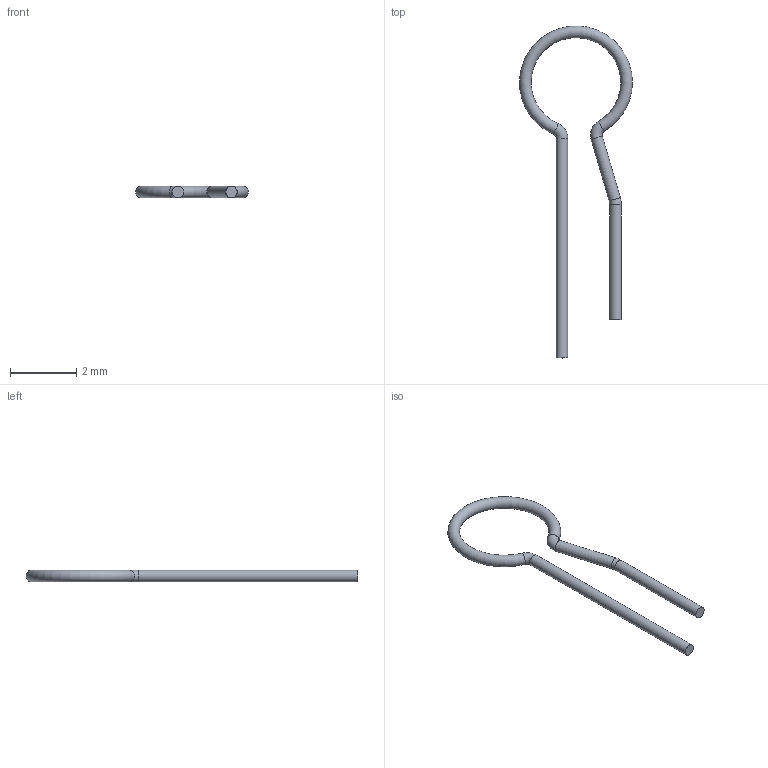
import cadquery as cq
import math

wire_diameter = 0.35
loop_outer_diameter = 3.4
overall_length = 9.99
loop_radius = (loop_outer_diameter - wire_diameter) / 2

long_leg_x = -0.42
long_leg_end_y = loop_outer_diameter / 2 - overall_length
short_leg_x = 1.19
short_leg_end_y = -7.14

neck_bend_radius = 0.3
knee_bend_radius = 0.6

loop_exit_angle = 30.0
slant_angle = 16.3


def polar_point(centre, radius, angle):
    """Point on a circle, with the angle in radians measured from +X."""
    return (centre[0] + radius * math.cos(angle), centre[1] + radius * math.sin(angle))


def bend(path, centre, radius, start_angle, end_angle):
    """Continue the path along an arc between two angles about a centre."""
    middle = polar_point(centre, radius, (start_angle + end_angle) / 2)
    end = polar_point(centre, radius, end_angle)
    return path.threePointArc(middle, end)


def wire_centreline():
    """Long leg, neck, loop, neck, slanted run, knee and short leg, all tangent."""
    loop_centre = (0.0, 0.0)
    down = -math.pi / 2
    slant = math.radians(slant_angle)
    neck_distance = loop_radius + neck_bend_radius

    long_neck_x = long_leg_x - neck_bend_radius
    long_neck_angle = down - math.asin(-long_neck_x / neck_distance)
    long_neck_centre = polar_point(loop_centre, neck_distance, long_neck_angle)

    short_neck_angle = down + math.radians(loop_exit_angle)
    short_neck_centre = polar_point(loop_centre, neck_distance, short_neck_angle)
    slant_start = polar_point(short_neck_centre, neck_bend_radius, math.pi + slant)

    knee_centre_x = short_leg_x - knee_bend_radius
    slant_end_x = knee_centre_x + knee_bend_radius * math.cos(slant)
    slant_end_y = slant_start[1] - (slant_end_x - slant_start[0]) / math.tan(slant)
    knee_centre = (knee_centre_x, slant_end_y - knee_bend_radius * math.sin(slant))

    path = cq.Workplane("XY").moveTo(long_leg_x, long_leg_end_y)
    path = path.lineTo(long_leg_x, long_neck_centre[1])
    path = bend(path, long_neck_centre, neck_bend_radius, 0.0, long_neck_angle + math.pi)
    path = bend(path, loop_centre, loop_radius, long_neck_angle, short_neck_angle - 2 * math.pi)
    path = bend(path, short_neck_centre, neck_bend_radius, short_neck_angle + math.pi, math.pi + slant)
    path = path.lineTo(slant_end_x, slant_end_y)
    path = bend(path, knee_centre, knee_bend_radius, slant, 0.0)
    return path.lineTo(short_leg_x, short_leg_end_y)


section = (
    cq.Workplane("XZ", origin=(long_leg_x, long_leg_end_y, 0))
    .circle(wire_diameter / 2)
)
result = section.sweep(wire_centreline())